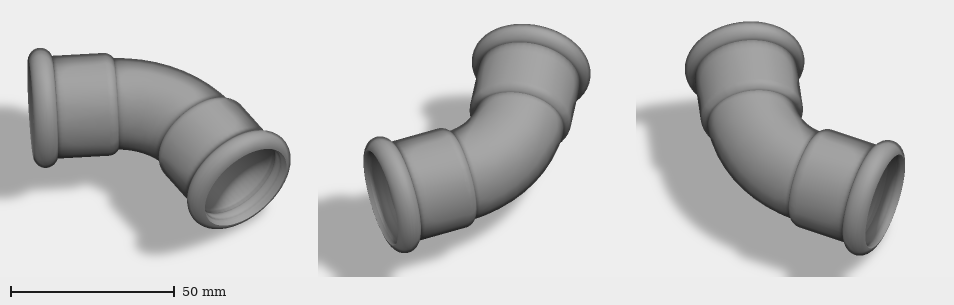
import cadquery as cq
import math

bend_angle = 60.0
corner_to_mouth = 42.1

bead_diameter = 36.7
bead_width = 7.45

socket_diameter = 31.4
socket_depth = 23.05
shoulder_radius = 3.5
bore_diameter = 28.4
bore_end_radius = 2.25

mouth_diameter = 30.1
land_diameter = 28.8
land_start = 1.3
bore_start = 7.4
bore_edge_radius = 2.3
rib_start = 2.3
rib_end = 5.35
rib_height = 0.4

bend_radius = 30.3
tube_diameter = 27.95
tube_bore_diameter = 25.2

bead_radius = bead_width / 2
bead_ring_radius = bead_diameter / 2 - bead_radius
bend_start = bend_radius * math.tan(math.radians(bend_angle / 2))
socket_radius = socket_diameter / 2
bore_radius = bore_diameter / 2
land_radius = land_diameter / 2
mouth_radius = mouth_diameter / 2
tube_radius = tube_diameter / 2
tube_bore_radius = tube_bore_diameter / 2


def socket_from(profile):
    """Revolve a (radius, depth) profile about the socket axis: mouth at x = corner_to_mouth, facing +X."""
    ring = profile.close().revolve(360, (0, 0, 0), (0, 1, 0))
    return ring.rotate((0, 0, 0), (0, 0, 1), 90).translate((corner_to_mouth, 0, 0))


def socket_outside():
    shoulder_end = socket_depth + shoulder_radius
    sleeve = socket_from(
        cq.Workplane("XY").moveTo(0, bead_radius)
        .lineTo(socket_radius, bead_radius)
        .lineTo(socket_radius, socket_depth)
        .radiusArc((socket_radius - shoulder_radius, shoulder_end), -shoulder_radius)
        .lineTo(0, shoulder_end)
    )
    bead = socket_from(
        cq.Workplane("XY")
        .lineTo(bead_ring_radius, 0)
        .threePointArc((bead_ring_radius + bead_radius, bead_radius), (bead_ring_radius, bead_width))
        .lineTo(0, bead_width)
    )
    return sleeve.union(bead)


def socket_inside():
    rib_middle = (rib_start + rib_end) / 2
    edge_drop = land_radius - bore_radius
    edge_run = math.sqrt(bore_edge_radius**2 - (bore_edge_radius - edge_drop)**2)
    bore_end = socket_depth + bore_end_radius
    return socket_from(
        cq.Workplane("XY")
        .lineTo(mouth_radius, 0)
        .lineTo(land_radius, land_start)
        .lineTo(land_radius, rib_start)
        .threePointArc((land_radius - rib_height, rib_middle), (land_radius, rib_end))
        .lineTo(land_radius, bore_start - edge_run)
        .radiusArc((bore_radius, bore_start), bore_edge_radius)
        .lineTo(bore_radius, socket_depth)
        .radiusArc((bore_radius - bore_end_radius, bore_end), -bore_end_radius)
        .lineTo(0, bore_end)
    )


def bend(radius):
    """Round bar of the given radius bent from the +X socket round to the other one."""
    return (
        cq.Workplane("YZ", origin=(bend_start, 0, 0)).circle(radius)
        .revolve(bend_angle, (-bend_radius, 0, 0), (-bend_radius, 1, 0))
    )


def both_sockets(socket):
    """The given +X socket together with its copy turned about Z onto the other end of the bend."""
    other = socket.rotate((0, 0, 0), (0, 0, 1), 180 + bend_angle)
    return socket.union(other)


outside = both_sockets(socket_outside()).union(bend(tube_radius))
result = outside.cut(bend(tube_bore_radius)).cut(both_sockets(socket_inside()))